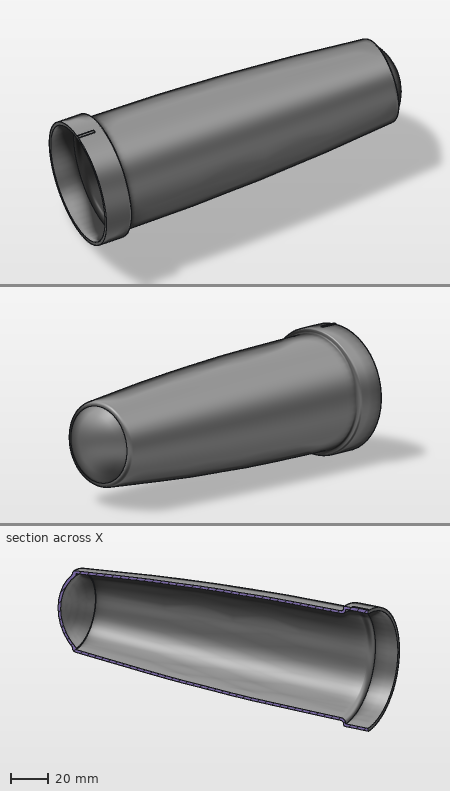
import cadquery as cq
import math

length = 190.0
wall = 1.9

collar_radius = 35.0
shoulder_end = 16.7
shoulder_fillet = 1.3

barrel_base_radius = 32.0
barrel_tip_radius = 23.8
barrel_end = 178.8

rim_radius = 2.5
rim_edge_radius = barrel_tip_radius - rim_radius
dome_edge_radius = 21.0
rim_end = barrel_end + rim_radius

rib_width = 1.7
rib_length = 9.9
rib_height = 0.4


def arc_middle(start, end, center, radius):
    """Point on a circular arc halfway between the directions of its ends."""
    dx = start[0] + end[0] - 2 * center[0]
    dy = start[1] + end[1] - 2 * center[1]
    reach = radius / math.hypot(dx, dy)
    return (center[0] + dx * reach, center[1] + dy * reach)


def barrel_arc(inset):
    """Barrel side, an arc parallel to the axis where it leaves the shoulder."""
    run = barrel_end - shoulder_end
    drop = barrel_base_radius - barrel_tip_radius
    arc_radius = (run**2 + drop**2) / (2 * drop)
    center = (barrel_base_radius - arc_radius, shoulder_end)
    start = (barrel_base_radius - inset, shoulder_end)
    reach = (arc_radius - inset) / arc_radius
    end = (center[0] + (barrel_tip_radius - center[0]) * reach, center[1] + run * reach)
    return arc_middle(start, end, center, arc_radius - inset), end


def dome_arc(inset):
    """Middle point and edge of the dome surface lying the given inset inside the tip."""
    rise = length - rim_end
    dome_radius = (dome_edge_radius**2 + rise**2) / (2 * rise)
    center = (0, length - dome_radius)
    radius = dome_radius - inset
    edge = (dome_edge_radius, center[1] + math.sqrt(radius**2 - dome_edge_radius**2))
    return arc_middle(edge, (0, length - inset), center, radius), edge


def revolved_body(inset, shoulder, tip):
    """Solid of revolution with the given shoulder and tip edge, inset from the outer surface."""
    dome_mid, dome_edge = dome_arc(inset)
    barrel_mid, barrel_tip = barrel_arc(inset)
    profile = cq.Workplane("XY").lineTo(collar_radius - inset, 0)
    profile = shoulder(profile).threePointArc(barrel_mid, barrel_tip)
    profile = tip(profile, dome_edge)
    profile = profile.threePointArc(dome_mid, (0, length - inset)).close()
    return profile.revolve(360, (0, 0, 0), (0, 1, 0))


def outer_shoulder(profile):
    """Collar side, rounded edge, narrow flat ledge and fillet into the barrel."""
    ledge = shoulder_end - shoulder_fillet
    return (
        profile.lineTo(collar_radius, ledge - shoulder_fillet)
        .radiusArc((collar_radius - shoulder_fillet, ledge), -shoulder_fillet)
        .lineTo(barrel_base_radius + shoulder_fillet, ledge)
        .radiusArc((barrel_base_radius, shoulder_end), shoulder_fillet)
    )


def inner_shoulder(profile):
    """Collar bore and a rounded lip leading into the barrel bore."""
    lip_radius = collar_radius - barrel_base_radius
    return (
        profile.lineTo(collar_radius - wall, shoulder_end - lip_radius)
        .radiusArc((barrel_base_radius - wall, shoulder_end), lip_radius)
    )


def rounded_tip(profile, dome_edge):
    """Rounded rim, then a narrow flat ring around the dome."""
    return profile.radiusArc((rim_edge_radius, rim_end), -rim_radius).lineTo(*dome_edge)


def plain_tip(profile, dome_edge):
    """Straight step from the barrel bore to the hollow of the dome."""
    return profile.lineTo(*dome_edge)


def locating_rib():
    """Small straight rib rooted in the collar wall and standing proud of it."""
    root = collar_radius - wall / 2
    return cq.Workplane("XY").box(
        rib_width, rib_length, collar_radius + rib_height - root, centered=(True, False, False)
    ).translate((0, 0, root))


outer_body = revolved_body(0, outer_shoulder, rounded_tip)
cavity = revolved_body(wall, inner_shoulder, plain_tip)
result = outer_body.union(locating_rib()).cut(cavity)